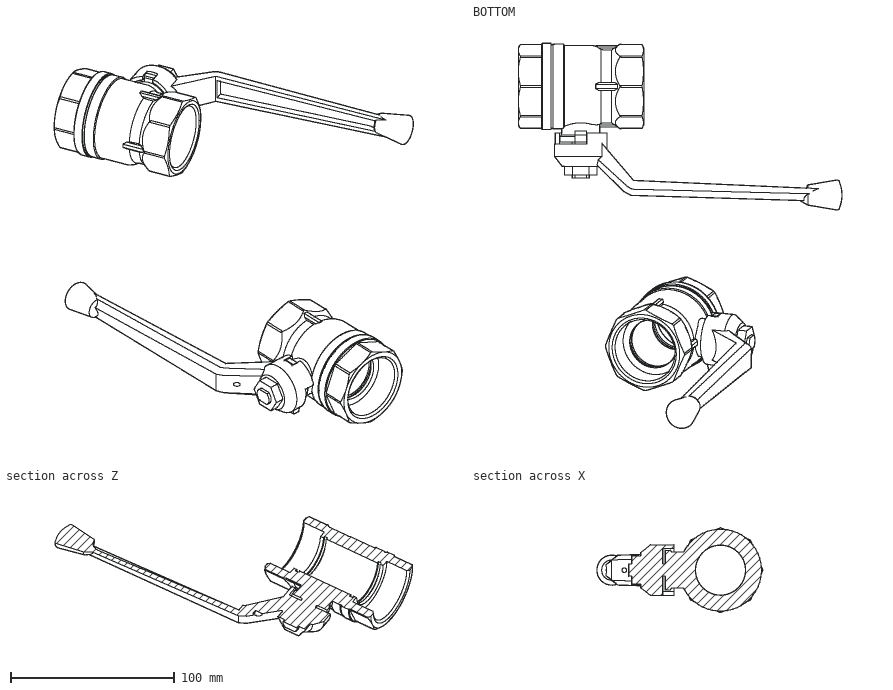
import cadquery as cq
import math


stem_x = -0.3
half_length = 38.5
octagon_sides = 8
flats = 48.0
corner_radius = 25.72
end_chamfer = 1.2
left_chamfer_drop = 1.7
right_chamfer_drop = 2.6
flange_start = -24.2
flange_end = -17.2
flange_radius = 26.5
flange_chamfer = 0.5
groove_width = 1.2
groove_radius = 25.7
collar_end = -10.4
collar_radius = 26.0
collar_taper = 0.5
barrel_end = 7.0
barrel_radius = 25.2
shoulder_end = 9.6
shoulder_radius = 24.4
throat = 12.0
throat_radius = 22.8
waist_start = 14.3
waist_end = 18.5
waist_radius = 22.4
cone_end = 24.2
cone_radius = 26.2

thread_radius = 19.5
thread_chamfer = 1.4
thread_depth = 15.8
port_radius = 15.25
seat_groove_radius = 16.5
seat_groove_width = 2.0
seat_groove_offset = 19.5

rib_start = 7.6
rib_end = 26.0
rib_width = 4.9
rib_top = 24.9
rib_base = 20.0
rib_nose_radius = 1.5
rib_edge = 1.3

neck_radius = 11.75
neck_base = 21.0
neck_top = 33.9
plate_radius = 12.75
plate_bottom = 29.9
plate_chamfer = 0.8
ear_reach = 15.2
stem_radius = 5.3
stem_flats = 8.0
stem_top = 56.2
tab_half_width = 3.5
tab_reach = 21.6
tab_bend = 12.3
tab_low_outer = 29.7
tab_low_inner = 27.4

hub_radius = 16.1
hub_bottom = 28.45
hub_shoulder = 42.9
hub_top = 48.9
hub_top_radius = 11.5
cavity_radius = 13.6
cavity_top = 35.3
notch_edge = 3.8
window_half_width = 3.6
nut_corner_radius = 10.1
nut_top = 54.4

root_top = (8.0, 46.6)
root_bottom = (8.0, 29.4)
bend_top_start = (26.0, 64.4)
bend_top_end = (30.5, 66.8)
bend_bottom_start = (31.0, 56.3)
bend_bottom_end = (32.0, 57.5)
tip_top = (146.0, 70.3)
tip_bottom = (146.0, 62.6)
lever_half_width_root = 9.8
lever_half_width_tip = 6.2
edge_bevel_width = 3.0
edge_bevel_root = 3.9
edge_bevel_tip = 4.4

arm_hole_radius = 1.4
arm_hole_height = 58.9
arm_hole_end = 24.0

channel_start = 33.0
channel_end = 138.2
channel_runout = 6.3
channel_half_width_start = 6.2
channel_half_width_end = 3.8
channel_depth = 4.6

knob_height = 66.5
knob_start = 133.9
knob_start_radius = 3.5
knob_cone_start = 138.8
knob_cone_radius = 6.25
knob_rim = 156.4
knob_radius = 9.23
knob_edge = 158.2
knob_edge_radius = 7.8
knob_end = 159.75


def turned(points):
    """Solid of revolution about the X axis, from (x, radius) points."""
    first_x = points[0][0]
    last_x = points[-1][0]
    outline = [(first_x, 0.0)] + points + [(last_x, 0.0)]
    profile = cq.Workplane("XY").polyline(outline).close()
    return profile.revolve(360, (0, 0, 0), (1, 0, 0))


def upright(radius, bottom, top):
    """Cylinder about the stem axis between two heights along Y."""
    return cq.Workplane("XZ", origin=(stem_x, bottom, 0)).circle(radius).extrude(bottom - top)


def box(x_range, y_range, z_range):
    """Rectangular block between (low, high) limits along each axis."""
    sizes = [r[1] - r[0] for r in (x_range, y_range, z_range)]
    corner = (x_range[0], y_range[0], z_range[0])
    return cq.Workplane("XY").box(*sizes, centered=False).translate(corner)


def octagon_end(start, end, envelope):
    """Octagonal prism turned down to a round envelope of (x, radius) points."""
    corner_diameter = flats / math.cos(math.pi / octagon_sides)
    prism = cq.Workplane("YZ", origin=(start, 0, 0))
    prism = prism.polygon(octagon_sides, corner_diameter).extrude(end - start)
    return prism.intersect(turned(envelope))


def make_barrel():
    groove_start = flange_end - groove_width
    outline = [
        (flange_start, flange_radius - flange_chamfer),
        (flange_start + flange_chamfer, flange_radius),
        (groove_start, flange_radius),
        (groove_start, groove_radius),
        (flange_end, groove_radius),
        (flange_end, collar_radius),
        (collar_end - collar_taper, collar_radius),
        (collar_end, barrel_radius),
        (barrel_end, barrel_radius),
        (shoulder_end, shoulder_radius),
        (throat, throat_radius),
        (waist_start, waist_radius),
        (waist_end, waist_radius),
    ]
    return turned(outline)


def make_ribs():
    blank = box((rib_start, rib_end), (-rib_width / 2, rib_width / 2), (rib_base, rib_top))
    blank = blank.edges("|Z and <X").fillet(rib_nose_radius)
    rib = blank.faces(">Z").edges().chamfer(rib_edge)
    ribs = rib
    for turn in (90, 180, 270):
        ribs = ribs.union(rib.rotate((0, 0, 0), (1, 0, 0), turn))
    return ribs


def make_body():
    left_envelope = [
        (-half_length, corner_radius - left_chamfer_drop),
        (-half_length + end_chamfer, corner_radius),
        (flange_start, corner_radius),
    ]
    right_envelope = [
        (waist_end, waist_radius),
        (cone_end, cone_radius),
        (cone_end, corner_radius),
        (half_length - end_chamfer, corner_radius),
        (half_length, corner_radius - right_chamfer_drop),
    ]
    body = make_barrel()
    body = body.union(octagon_end(-half_length, flange_start, left_envelope))
    body = body.union(octagon_end(waist_end, half_length, right_envelope))
    body = body.union(make_ribs())
    return body.union(upright(neck_radius, neck_base, neck_top))


def make_bore():
    mouth_radius = thread_radius + thread_chamfer
    floor = half_length - thread_depth
    inlet = [
        (-half_length, mouth_radius),
        (-half_length + thread_chamfer, thread_radius),
        (-floor, thread_radius),
        (-floor, port_radius),
        (0, port_radius),
    ]
    bore = turned(inlet)
    bore = bore.union(bore.mirror("YZ"))
    for side in (-1, 1):
        start = side * seat_groove_offset - seat_groove_width / 2
        groove = [(start, seat_groove_radius), (start + seat_groove_width, seat_groove_radius)]
        bore = bore.union(turned(groove))
    return bore


def make_stop_plate():
    ear = box((stem_x - tab_half_width, stem_x + tab_half_width), (plate_bottom, neck_top), (0, ear_reach))
    plate = upright(plate_radius, plate_bottom, neck_top).union(ear)
    return plate.faces("<Y").edges().chamfer(plate_chamfer)


def make_stop_tab():
    outline = [
        (neck_top, 0),
        (neck_top, -tab_reach),
        (tab_low_outer, -tab_reach),
        (tab_low_inner, -tab_bend),
        (tab_low_inner, 0),
    ]
    tab = cq.Workplane("YZ", origin=(stem_x - tab_half_width, 0, 0)).polyline(outline).close()
    return tab.extrude(2 * tab_half_width)


def make_stem():
    stem = upright(stem_radius, neck_top, stem_top)
    tip = box(
        (stem_x - stem_radius, stem_x + stem_radius),
        (neck_top, stem_top),
        (-stem_flats / 2, stem_flats / 2),
    )
    return stem.intersect(tip)


def make_hub():
    outline = [
        (0, hub_bottom),
        (hub_radius, hub_bottom),
        (hub_radius, hub_shoulder),
        (hub_top_radius, hub_top),
        (0, hub_top),
    ]
    profile = cq.Workplane("XY").polyline(outline).close()
    return profile.revolve(360, (0, 0, 0), (0, 1, 0)).translate((stem_x, 0, 0))


def make_hub_cuts():
    heights = (hub_bottom, cavity_top)
    outside = hub_radius + 1
    cavity = upright(cavity_radius, *heights)
    notch = box((stem_x - outside, stem_x + notch_edge), heights, (-outside, notch_edge))
    window = box((stem_x - window_half_width, stem_x + window_half_width), heights, (0, outside))
    return cavity.union(notch).union(window)


def make_nut():
    hexagon = cq.Workplane("XZ", origin=(stem_x, hub_top, 0)).polygon(6, 2 * nut_corner_radius)
    return hexagon.extrude(hub_top - nut_top)


def lever_half_width(x):
    share = (x - root_top[0]) / (tip_top[0] - root_top[0])
    return lever_half_width_root + share * (lever_half_width_tip - lever_half_width_root)


def lever_section(top, bottom, bevel_depth):
    """Closed wire across the lever between an upper and a lower point, with bevelled upper edges."""
    depth = math.dist(top, bottom)
    share = bevel_depth / depth
    shelf = [t + share * (b - t) for t, b in zip(top, bottom)]
    top_half = lever_half_width(top[0]) - edge_bevel_width
    half_outline = [
        (*top, top_half),
        (*shelf, lever_half_width(shelf[0])),
        (*bottom, lever_half_width(bottom[0])),
    ]
    other_half = [(x, y, -z) for x, y, z in reversed(half_outline)]
    corners = [cq.Vector(*point) for point in half_outline + other_half]
    return cq.Wire.makePolygon(corners, close=True)


def make_lever():
    sections = [
        lever_section(root_top, root_bottom, edge_bevel_root),
        lever_section(bend_top_start, bend_bottom_start, edge_bevel_root),
        lever_section(bend_top_end, bend_bottom_end, edge_bevel_root),
        lever_section(tip_top, tip_bottom, edge_bevel_tip),
    ]
    return cq.Workplane(cq.Solid.makeLoft(sections, True))


def make_channel():
    """Tapered trough along the underside of the lever, ending in a round run-out."""
    slope = (tip_bottom[1] - bend_bottom_end[1]) / (tip_bottom[0] - bend_bottom_end[0])
    round_start = channel_end - channel_runout
    floor_start = bend_bottom_end[1] + channel_depth
    floor_end = floor_start + slope * (round_start - channel_start)
    side = (
        cq.Workplane("XY", origin=(0, 0, -channel_half_width_start))
        .moveTo(channel_start, hub_bottom)
        .lineTo(channel_start, floor_start)
        .lineTo(round_start, floor_end)
        .tangentArcPoint((channel_end, floor_end - channel_runout), relative=False)
        .lineTo(channel_end, hub_bottom)
        .close()
        .extrude(2 * channel_half_width_start)
    )
    plan = [
        (channel_start, -channel_half_width_start),
        (channel_end, -channel_half_width_end),
        (channel_end, channel_half_width_end),
        (channel_start, channel_half_width_start),
    ]
    taper = cq.Workplane("XZ").polyline(plan).close().extrude(-tip_top[1])
    return side.intersect(taper)


def make_arm_hole():
    hole = cq.Workplane("YZ", origin=(0, arm_hole_height, 0)).circle(arm_hole_radius)
    return hole.extrude(arm_hole_end)


def make_knob():
    dome_height = knob_end - knob_edge
    dome_radius = (knob_edge_radius**2 + dome_height**2) / (2 * dome_height)
    middle_radius = knob_edge_radius / 2
    dome_sag = dome_radius - math.sqrt(dome_radius**2 - middle_radius**2)
    profile = (
        cq.Workplane("XY")
        .moveTo(knob_start, 0)
        .lineTo(knob_start, knob_start_radius)
        .lineTo(knob_cone_start, knob_cone_radius)
        .lineTo(knob_rim, knob_radius)
        .tangentArcPoint((knob_edge, knob_edge_radius), relative=False)
        .threePointArc((knob_end - dome_sag, middle_radius), (knob_end, 0))
        .close()
    )
    return profile.revolve(360, (0, 0, 0), (1, 0, 0)).translate((0, knob_height, 0))


body = make_body().cut(make_bore())
handle = make_hub().union(make_lever()).union(make_knob())
handle = handle.cut(make_hub_cuts()).cut(make_channel()).cut(make_arm_hole())
fittings = make_stem().union(make_stop_plate()).union(make_stop_tab()).union(make_nut())
result = body.union(handle).union(fittings)